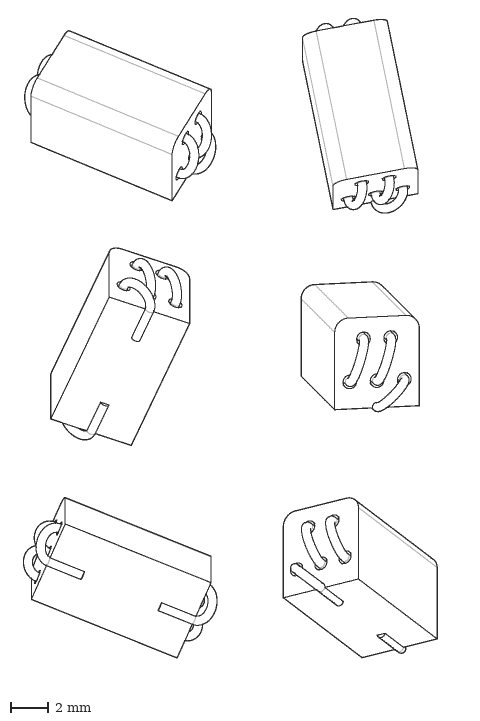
import cadquery as cq

overall_length = 10.38
housing_length = 8.5
housing_width = 4.65
housing_height = 5.0
top_edge_radius = 0.75

wire_diameter = 0.5
hole_diameter = 0.75
hole_pitch = 1.49
lower_row_z = 1.49
upper_row_z = lower_row_z + housing_width / 2

lead_length = 2.0
lead_protrusion = 0.2

face_x = housing_length / 2
wire_radius = wire_diameter / 2
bend_depth = (overall_length - housing_length) / 2 - wire_radius

upper_holes = [(hole_pitch / 2, upper_row_z), (-hole_pitch / 2, upper_row_z)]
lower_holes = [(0, lower_row_z), (-hole_pitch, lower_row_z)]
lead_wire_hole = (hole_pitch, lower_row_z)
lead_center = (0, wire_radius - lead_protrusion)


def straight_wire(center, start_x, length):
    """Round wire running along +X from start_x."""
    return cq.Workplane("YZ", origin=(start_x, 0, 0)).center(*center).circle(wire_radius).extrude(length)


def end_bend(start, end, side):
    """Half-ellipse bend joining two wire centres outside the end face at side = -1 or +1."""
    start_point = cq.Vector(side * face_x, *start)
    end_point = cq.Vector(side * face_x, *end)
    half_chord = (start_point - end_point) * 0.5
    outward = cq.Vector(side, 0, 0)
    path = cq.Edge.makeEllipse(
        half_chord.Length,
        bend_depth,
        pnt=(start_point + end_point) * 0.5,
        dir=half_chord.cross(outward),
        xdir=half_chord,
        angle1=0,
        angle2=180,
    )
    profile = cq.Workplane("YZ", origin=(side * face_x, 0, 0)).center(*start).circle(wire_radius)
    return profile.sweep(cq.Workplane(obj=path))


def make_block():
    """Housing block with rounded upper long edges and wire holes through its length."""
    block = cq.Workplane("XY").box(
        housing_length, housing_width, housing_height, centered=(True, True, False)
    )
    block = block.edges("|X and >Z").fillet(top_edge_radius)
    holes = (
        cq.Workplane("YZ", origin=(-face_x, 0, 0))
        .pushPoints([*upper_holes, *lower_holes, lead_wire_hole])
        .circle(hole_diameter / 2)
        .extrude(housing_length)
    )
    return block.cut(holes)


def make_lead_wire():
    """Wire through the odd hole, bent at both ends to a short lead under the housing."""
    wire = straight_wire(lead_wire_hole, -face_x, housing_length)
    for side, lead_start in ((-1, -face_x), (1, face_x - lead_length)):
        wire = wire.union(end_bend(lead_wire_hole, lead_center, side))
        wire = wire.union(straight_wire(lead_center, lead_start, lead_length))
    return wire


def make_turn(upper, lower):
    """Closed wire turn through one upper and one lower hole."""
    turn = straight_wire(upper, -face_x, housing_length)
    turn = turn.union(straight_wire(lower, -face_x, housing_length))
    for side in (-1, 1):
        turn = turn.union(end_bend(upper, lower, side))
    return turn


housing = make_block().union(make_lead_wire())

turns = [make_turn(upper, lower) for upper, lower in zip(upper_holes, lower_holes)]

result = cq.Compound.makeCompound([housing.solids().val(), *[turn.solids().val() for turn in turns]])